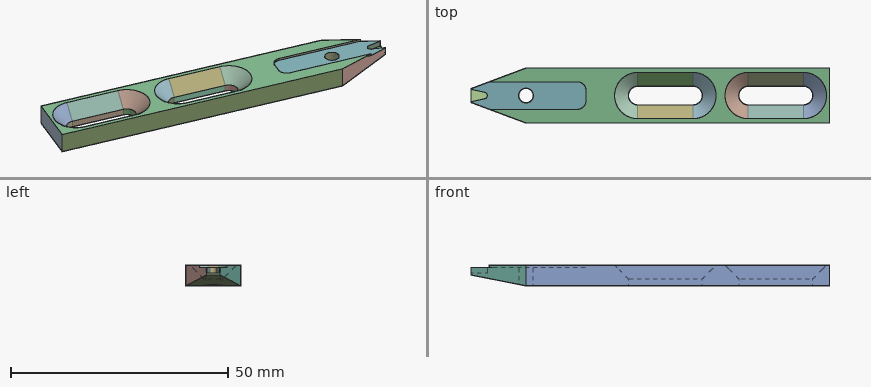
import cadquery as cq
import math

LENGTH = 82.55
WIDTH = 12.7
THICKNESS = 4.78

TAPER_LENGTH = 12.7
TIP_WIDTH = 3.175
TIP_UNDERSIDE_Z = 2.5

POCKET_LENGTH = 26.5
POCKET_WIDTH = 6.35
POCKET_DEPTH = 0.5
POCKET_CORNER_RADIUS = 2.0
POCKET_FLOOR_Z = THICKNESS - POCKET_DEPTH

HOLE_DIAMETER = 3.3
HOLE_X = TAPER_LENGTH

NOTCH_LENGTH = 3.8
NOTCH_MOUTH_WIDTH = 2.9
NOTCH_END_RADIUS = 0.75
NOTCH_FLOOR_Z = 2.95

SLOT_WIDTH = 4.25
SLOT_TRAVEL = 12.7
SLOT_PITCH = 25.4
SLOT_COUNT = 2
LAST_SLOT_END_MARGIN = 6.05
COUNTERSINK_WIDTH = 10.65
COUNTERSINK_ANGLE = 90.0


def make_bar():
    """Rectangular bar narrowed to a tip, with the underside of the tip sloping up."""
    half_width = WIDTH / 2
    half_tip = TIP_WIDTH / 2
    plan = (
        cq.Workplane("XY")
        .moveTo(0, -half_tip)
        .lineTo(TAPER_LENGTH, -half_width)
        .lineTo(LENGTH, -half_width)
        .lineTo(LENGTH, half_width)
        .lineTo(TAPER_LENGTH, half_width)
        .lineTo(0, half_tip)
        .close()
        .extrude(THICKNESS)
    )
    profile = (
        cq.Workplane("XZ")
        .moveTo(0, TIP_UNDERSIDE_Z)
        .lineTo(TAPER_LENGTH, 0)
        .lineTo(LENGTH, 0)
        .lineTo(LENGTH, THICKNESS)
        .lineTo(0, THICKNESS)
        .close()
        .extrude(half_width, both=True)
    )
    return plan.intersect(profile)


def make_pocket():
    """Shallow pocket with two rounded inner corners."""
    return (
        cq.Workplane("XY", origin=(POCKET_LENGTH / 2, 0, POCKET_FLOOR_Z))
        .rect(POCKET_LENGTH, POCKET_WIDTH)
        .extrude(POCKET_DEPTH)
        .edges("|Z and >X")
        .fillet(POCKET_CORNER_RADIUS)
    )


def make_hole():
    return cq.Workplane("XY").center(HOLE_X, 0).circle(HOLE_DIAMETER / 2).extrude(THICKNESS)


def make_notch():
    """Notch whose straight sides run from the mouth tangent to the end arc."""
    half_mouth = NOTCH_MOUTH_WIDTH / 2
    arc_x = NOTCH_LENGTH - NOTCH_END_RADIUS
    mouth_distance = math.hypot(arc_x, half_mouth)
    touch_angle = math.atan2(half_mouth, -arc_x) - math.acos(NOTCH_END_RADIUS / mouth_distance)
    touch_x = arc_x + NOTCH_END_RADIUS * math.cos(touch_angle)
    touch_y = NOTCH_END_RADIUS * math.sin(touch_angle)
    return (
        cq.Workplane("XY", origin=(0, 0, NOTCH_FLOOR_Z))
        .moveTo(0, -half_mouth)
        .lineTo(touch_x, -touch_y)
        .threePointArc((NOTCH_LENGTH, 0), (touch_x, touch_y))
        .lineTo(0, half_mouth)
        .close()
        .extrude(THICKNESS - NOTCH_FLOOR_Z)
    )


def make_countersunk_slot(center_x):
    """Through slot with a conical countersink opening at the top face."""
    through = (
        cq.Workplane("XY", origin=(center_x, 0, 0))
        .slot2D(SLOT_TRAVEL + SLOT_WIDTH, SLOT_WIDTH)
        .extrude(THICKNESS)
    )
    half_angle = COUNTERSINK_ANGLE / 2
    depth = (COUNTERSINK_WIDTH - SLOT_WIDTH) / 2 / math.tan(math.radians(half_angle))
    countersink = (
        cq.Workplane("XY", origin=(center_x, 0, THICKNESS))
        .slot2D(SLOT_TRAVEL + COUNTERSINK_WIDTH, COUNTERSINK_WIDTH)
        .extrude(-depth, taper=half_angle)
    )
    return through.union(countersink)


result = make_bar().cut(make_pocket()).cut(make_hole()).cut(make_notch())

last_slot_x = LENGTH - LAST_SLOT_END_MARGIN - SLOT_TRAVEL / 2
for index in range(SLOT_COUNT):
    result = result.cut(make_countersunk_slot(last_slot_x - index * SLOT_PITCH))